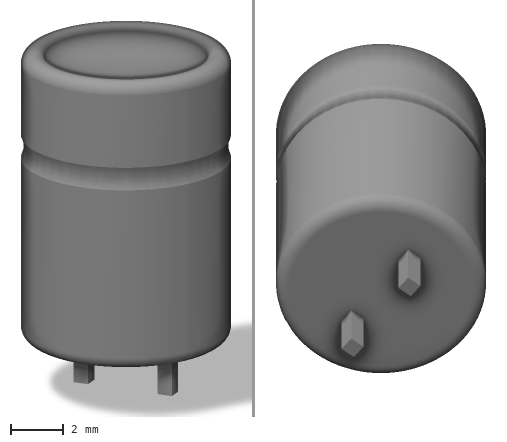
import cadquery as cq
import math


total_height = 13.5
pin_length = 2.0
can_height = total_height - pin_length
can_diameter = 8.0
can_radius = can_diameter / 2
flat_diameter = 7.0
flat_radius = flat_diameter / 2
edge_radius = can_radius - flat_radius

groove_top = can_height - 3.36
groove_height = 0.9
groove_depth = 0.11
groove_bottom = groove_top - groove_height
groove_middle = (groove_top + groove_bottom) / 2

lid_drop = 0.23
lid_thickness = 0.2
lid_top = can_height - lid_drop
lid_bottom = lid_top - lid_thickness
rim_center_height = can_height - edge_radius
lid_radius = flat_radius - math.sqrt(edge_radius**2 - (lid_top - rim_center_height) ** 2)

stripe_width = 4.0

pin_width = 0.6
pin_pitch = 3.5


def make_envelope():
    """Revolved outline of the can, including the stripe, with the lid recess open at the top."""
    diagonal = edge_radius * math.sqrt(0.5)
    return (
        cq.Workplane("XZ")
        .moveTo(0, 0)
        .lineTo(flat_radius, 0)
        .threePointArc(
            (flat_radius + diagonal, edge_radius - diagonal),
            (can_radius, edge_radius),
        )
        .lineTo(can_radius, groove_bottom)
        .threePointArc((can_radius - groove_depth, groove_middle), (can_radius, groove_top))
        .lineTo(can_radius, rim_center_height)
        .threePointArc(
            (flat_radius + diagonal, rim_center_height + diagonal),
            (flat_radius, can_height),
        )
        .radiusArc((lid_radius, lid_top), -edge_radius)
        .lineTo(lid_radius, lid_bottom)
        .lineTo(0, lid_bottom)
        .close()
        .revolve(360, (0, 0, 0), (0, 1, 0))
    )


def make_stripe_region():
    """Volume that the stripe takes from the can wall, outside the lid radius."""
    slab = cq.Workplane("XY").box(can_diameter, stripe_width, can_height, centered=(False, True, False))
    core = cq.Workplane("XY").circle(lid_radius).extrude(can_height)
    return slab.cut(core)


def make_lid():
    return cq.Workplane("XY").workplane(offset=lid_bottom).circle(lid_radius).extrude(lid_thickness)


def make_pin(x):
    return cq.Workplane("XY").center(x, 0).rect(pin_width, pin_width).extrude(-pin_length)


envelope = make_envelope()
stripe_region = make_stripe_region()
can = envelope.cut(stripe_region).solids()
stripe = envelope.intersect(stripe_region).solids()
lid = make_lid()
pins = [make_pin(side * pin_pitch / 2) for side in (-1, 1)]

result = cq.Compound.makeCompound(
    [can.val(), stripe.val(), lid.val(), *[pin.val() for pin in pins]]
)